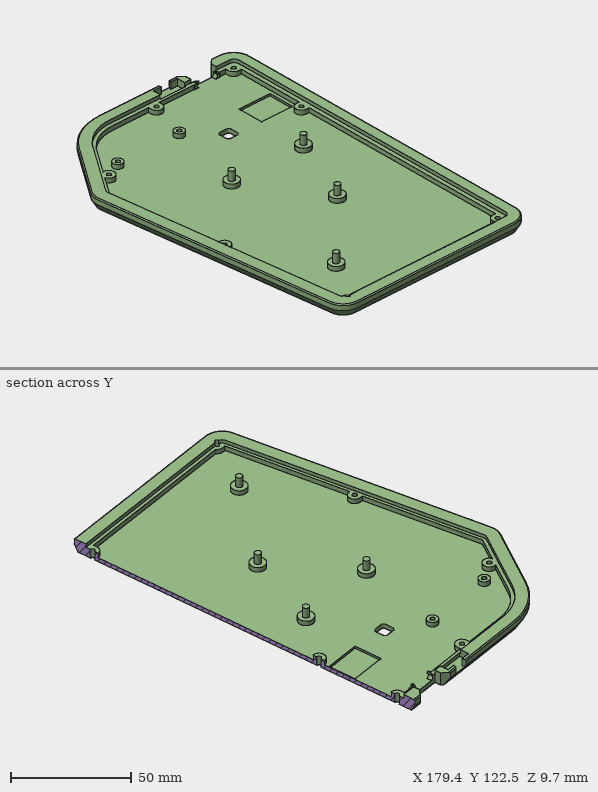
import cadquery as cq

LENGTH = 179.4
WIDTH = 122.4
RIM_TOP = 6.5
WAIST_HEIGHT = 3.4
BOTTOM_INSET = 2.0
RIM_CHAMFER = 0.5

NOSE_X = 44.1
NOSE_Y = -0.4
SLANT_TOP_Y = 29.8
RIGHT_BOTTOM_Y = 16.1
CORNER_RADIUS = 9.0
SLANT_RADIUS = 29.2

RIM_WIDTH = 6.1
FLOOR_TOP = 2.3
LEDGE_TOP = 4.7
LEDGE_WIDTH = 1.8
OPENING_SHIFT_X = -0.2
OPENING_SHIFT_Y = 0.4

HOLE_DIAMETER = 2.2
BOSS_DIAMETER = 6.1
BOSS_REACH = 2.9
LEFT, RIGHT, UP, DOWN = (-1, 0), (1, 0), (0, 1), (0, -1)
TOP_BOSS_Y = 112.8
LEFT_BOSS_X = 9.5
LEDGE_BOSSES = [
    (LEFT_BOSS_X, TOP_BOSS_Y, (LEFT, UP)),
    (50.6, TOP_BOSS_Y, (UP,)),
    (169.7, TOP_BOSS_Y, (RIGHT, UP)),
    (LEFT_BOSS_X, 68.9, (LEFT,)),
    (34.5, 18.3, ()),
    (107.0, 16.1, (DOWN,)),
    (173.0, 24.4, (DOWN,)),
]

PIN_TOP = 9.7
PIN_DIAMETER = 3.0
PIN_BASE_DIAMETER = 7.4
PIN_PITCH_X = 38.2
PIN_X = 72.3
PIN_POINTS = [
    (PIN_X, 93.6),
    (PIN_X, 52.7),
    (PIN_X + PIN_PITCH_X, 77.1),
    (PIN_X + 2 * PIN_PITCH_X, 40.5),
]
STANDOFF_DIAMETER = 5.2
STANDOFF_X = 29.6
STANDOFF_POINTS = [(STANDOFF_X, 63.0), (STANDOFF_X, 28.0)]

NOTCH_CENTRE_Y = 99.0
NOTCH_WIDTH = 14.4
NOTCH_DEPTH = 6.0
NOTCH_CHAMFER = 2.9
PORT_WIDTH = 11.5
PORT_HEIGHT = 2.9
PORT_TOP_WIDTH = 9.7
RIB_THICKNESS = 1.0
RIB_HEIGHT = 1.0
TAB_BACK_X = 8.3

SWITCH_CENTRE_Y = 81.3
SWITCH_LENGTH = 13.8
SWITCH_OUTER_X = 1.8
SWITCH_INNER_X = 6.5
SWITCH_FLOOR = 2.9
SWITCH_SLOT_CENTRE_Y = 81.6
SWITCH_SLOT_WIDTH = 5.4
SWITCH_SLOT_FLARE = 0.7

LABEL_X, LABEL_Y = 38.5, 103.9
LABEL_LENGTH, LABEL_WIDTH, LABEL_DEPTH = 13.6, 17.5, 1.0
WINDOW_X, WINDOW_Y = 42.7, 78.8
WINDOW_SIZE = 6.5
WINDOW_RADIUS = 1.5


def box(x_range, y_range, z_range):
    """Box given by its limits along each axis."""
    size = [b - a for a, b in (x_range, y_range, z_range)]
    corner = (x_range[0], y_range[0], z_range[0])
    return cq.Workplane("XY").box(*size, centered=False).translate(corner)


def cylinder(x, y, diameter, bottom, top):
    return cq.Workplane("XY", origin=(x, y, bottom)).circle(diameter / 2).extrude(top - bottom)


def outline(inset, height):
    """Prism on the plan outline moved inwards by inset, standing on Z = 0."""
    corners = [
        (0, WIDTH, CORNER_RADIUS),
        (LENGTH, WIDTH, CORNER_RADIUS),
        (LENGTH, RIGHT_BOTTOM_Y, CORNER_RADIUS),
        (NOSE_X, NOSE_Y, CORNER_RADIUS),
        (0, SLANT_TOP_Y, SLANT_RADIUS),
    ]
    prism = cq.Workplane("XY").polyline([(x, y) for x, y, _ in corners]).close().extrude(height)
    for x, y, radius in corners:
        prism = prism.edges(cq.selectors.NearestToPointSelector((x, y, height / 2))).fillet(radius)
    if inset:
        wire = prism.faces("<Z").wires().vals()[0].offset2D(-inset)[0]
        prism = cq.Workplane("XY").add(wire).toPending().extrude(height)
    return prism


def shell():
    """Outer body with a tapered lower half and a chamfered top rim."""
    body = outline(0, RIM_TOP)
    body = body.faces("<Z").chamfer(BOTTOM_INSET, WAIST_HEIGHT)
    return body.faces(">Z").chamfer(RIM_CHAMFER)


def ledge_boss(x, y, directions):
    """Round boss on the floor, extended straight towards the wall in each direction."""
    radius = BOSS_DIAMETER / 2
    boss = cylinder(x, y, BOSS_DIAMETER, FLOOR_TOP, LEDGE_TOP)
    for dx, dy in directions:
        along_x = sorted((x, x + dx * BOSS_REACH)) if dx else (x - radius, x + radius)
        along_y = sorted((y, y + dy * BOSS_REACH)) if dy else (y - radius, y + radius)
        boss = boss.union(box(along_x, along_y, (FLOOR_TOP, LEDGE_TOP)))
    return boss


def mirrored_pair(half):
    """The given solid together with its mirror image across the notch centre."""
    mirrored = half.mirror("XZ", (0, NOTCH_CENTRE_Y, 0))
    return half.union(mirrored)


def notch():
    """Full-height gap in the left wall, flared towards the outside."""
    half = NOTCH_WIDTH / 2
    points = [
        (NOTCH_DEPTH, -half),
        (NOTCH_CHAMFER, -half),
        (0, -half - NOTCH_CHAMFER),
        (0, half + NOTCH_CHAMFER),
        (NOTCH_CHAMFER, half),
        (NOTCH_DEPTH, half),
    ]
    return cq.Workplane("XY", origin=(0, NOTCH_CENTRE_Y, 0)).polyline(points).close().extrude(RIM_TOP)


def port_tab():
    """Block that thickens the ledge beside the port, with a thin ramped rib on its inner edge."""
    half = NOTCH_WIDTH / 2
    y_range = (NOTCH_CENTRE_Y, NOTCH_CENTRE_Y + half)
    block = box((NOTCH_DEPTH, TAB_BACK_X), y_range, (FLOOR_TOP, LEDGE_TOP))
    ramp = [(NOTCH_DEPTH, LEDGE_TOP), (TAB_BACK_X, LEDGE_TOP + RIB_HEIGHT), (TAB_BACK_X, LEDGE_TOP)]
    rib_y = NOTCH_CENTRE_Y + PORT_TOP_WIDTH / 2
    rib = cq.Workplane("XZ", origin=(0, rib_y, 0)).polyline(ramp).close().extrude(-RIB_THICKNESS)
    return block.union(rib)


def port():
    """Connector opening with fully rounded ends, open at the top between them."""
    centre_z = FLOOR_TOP + PORT_HEIGHT / 2
    plane = cq.Workplane("YZ", origin=(NOTCH_DEPTH, NOTCH_CENTRE_Y, centre_z))
    rounded = plane.slot2D(PORT_WIDTH, PORT_HEIGHT).extrude(TAB_BACK_X - NOTCH_DEPTH)
    half = PORT_TOP_WIDTH / 2
    y_range = (NOTCH_CENTRE_Y - half, NOTCH_CENTRE_Y + half)
    return rounded.union(box((NOTCH_DEPTH, TAB_BACK_X), y_range, (FLOOR_TOP, RIM_TOP)))


def switch_slot():
    """Slot through the outer wall, flared towards the outside."""
    outer = SWITCH_SLOT_WIDTH / 2 + SWITCH_SLOT_FLARE
    inner = SWITCH_SLOT_WIDTH / 2
    points = [(0, -outer), (0, outer), (SWITCH_OUTER_X, inner), (SWITCH_OUTER_X, -inner)]
    plane = cq.Workplane("XY", origin=(0, SWITCH_SLOT_CENTRE_Y, SWITCH_FLOOR))
    return plane.polyline(points).close().extrude(RIM_TOP)


tray = shell()

opening = outline(RIM_WIDTH, RIM_TOP)
tray = tray.cut(opening.translate((OPENING_SHIFT_X, OPENING_SHIFT_Y, LEDGE_TOP)))
pocket = outline(RIM_WIDTH + LEDGE_WIDTH, RIM_TOP)
tray = tray.cut(pocket.translate((0, 0, FLOOR_TOP)))

for boss_x, boss_y, reach in LEDGE_BOSSES:
    tray = tray.union(ledge_boss(boss_x, boss_y, reach))

for pin_x, pin_y in PIN_POINTS:
    tray = tray.union(cylinder(pin_x, pin_y, PIN_BASE_DIAMETER, FLOOR_TOP, LEDGE_TOP))
    tray = tray.union(cylinder(pin_x, pin_y, PIN_DIAMETER, FLOOR_TOP, PIN_TOP))

for post_x, post_y in STANDOFF_POINTS:
    tray = tray.union(cylinder(post_x, post_y, STANDOFF_DIAMETER, FLOOR_TOP, LEDGE_TOP))

hole_points = [(x, y) for x, y, _ in LEDGE_BOSSES] + STANDOFF_POINTS
for hole_x, hole_y in hole_points:
    tray = tray.cut(cylinder(hole_x, hole_y, HOLE_DIAMETER, 0, RIM_TOP))

tray = tray.cut(notch()).union(mirrored_pair(port_tab()))
tray = tray.cut(port())

recess_y = (SWITCH_CENTRE_Y - SWITCH_LENGTH / 2, SWITCH_CENTRE_Y + SWITCH_LENGTH / 2)
tray = tray.cut(box((SWITCH_OUTER_X, SWITCH_INNER_X), recess_y, (SWITCH_FLOOR, RIM_TOP)))
tray = tray.cut(switch_slot())

label = cq.Workplane("XY", origin=(LABEL_X, LABEL_Y, FLOOR_TOP)).rect(LABEL_LENGTH, LABEL_WIDTH)
tray = tray.cut(label.extrude(-LABEL_DEPTH))

window = cq.Workplane("XY", origin=(WINDOW_X, WINDOW_Y, 0)).rect(WINDOW_SIZE, WINDOW_SIZE)
tray = tray.cut(window.extrude(FLOOR_TOP).edges("|Z").fillet(WINDOW_RADIUS))

result = tray